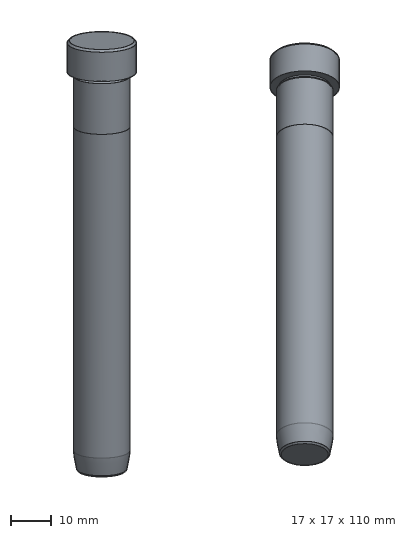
import cadquery as cq

total_length = 110.0
head_diameter = 17.0
shank_diameter = 14.0

head_height = 8.0
head_chamfer = 0.5
groove_depth = 0.5
groove_flat = 0.4

fitted_length = 22.0

nose_length = 5.2
nose_end_diameter = 12.4
nose_bulge = 0.1
tip_chamfer = 0.4

head_radius = head_diameter / 2
shank_radius = shank_diameter / 2
groove_radius = shank_radius - groove_depth
nose_end_radius = nose_end_diameter / 2
head_bottom = total_length - head_height
groove_bottom = head_bottom - groove_flat
split_height = total_length - fitted_length


def revolve_about_z(profile):
    """Revolve a closed half profile in the XZ plane about the Z axis."""
    return profile.revolve(360, (0, 0, 0), (0, 1, 0))


def make_headed_section():
    """Head, relief groove and the fitted part of the shank."""
    profile = (
        cq.Workplane("XZ")
        .moveTo(0, split_height)
        .lineTo(-shank_radius, split_height)
        .lineTo(-shank_radius, groove_bottom - groove_depth)
        .lineTo(-groove_radius, groove_bottom)
        .lineTo(-groove_radius, head_bottom)
        .lineTo(-head_radius, head_bottom)
        .lineTo(-head_radius, total_length - head_chamfer)
        .lineTo(-head_radius + head_chamfer, total_length)
        .lineTo(0, total_length)
        .close()
    )
    return revolve_about_z(profile)


def make_guide_section():
    """Long plain shank ending in a rounded nose with a chamfered tip."""
    nose_middle_radius = (shank_radius + nose_end_radius) / 2 + nose_bulge
    nose_middle_height = (nose_length + tip_chamfer) / 2
    profile = (
        cq.Workplane("XZ")
        .lineTo(-nose_end_radius + tip_chamfer, 0)
        .lineTo(-nose_end_radius, tip_chamfer)
        .threePointArc((-nose_middle_radius, nose_middle_height), (-shank_radius, nose_length))
        .lineTo(-shank_radius, split_height)
        .lineTo(0, split_height)
        .close()
    )
    return revolve_about_z(profile)


headed_section = make_headed_section()
guide_section = make_guide_section()

result = cq.Compound.makeCompound([headed_section.val(), guide_section.val()])